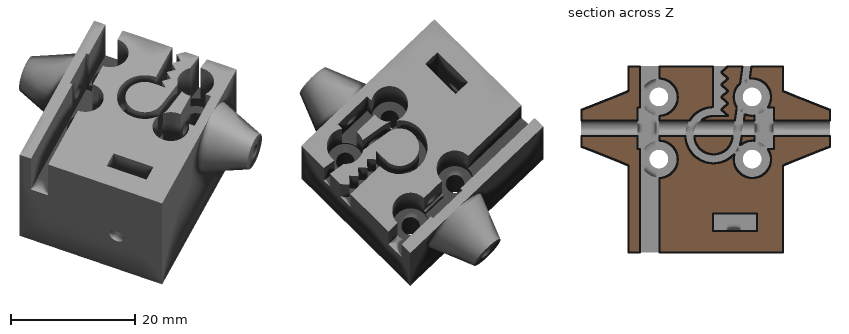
import cadquery as cq
import math

block_width = 25.0
block_length = 30.0
block_height = 21.0
half_width = block_width / 2

overall_width = 40.0
cone_length = (overall_width - block_width) / 2
cone_base_diameter = 12.0
cone_tip_diameter = 6.0
bore_diameter = 2.5
bore_y = 20.0
bore_z = block_height - cone_base_diameter / 2

screw_diameter = 3.0
counterbore_diameter = 5.9
counterbore_depth = 10.0
screw_spacing_x = 15.0
screw_spacing_y = 10.0

side_slot_width = 3.0
side_slot_wall = 2.0
side_slot_depth = 8.0

nut_pocket_thickness = 3.05
nut_pocket_width = 6.65
nut_pocket_wall = 1.55
nut_pocket_floor = bore_z - nut_pocket_width / 2

channel_depth = 8.0
core_x = 1.25
core_y = 18.9
core_radius = 3.1
channel_width = 1.35
outer_radius = core_radius + channel_width
leg_angle = math.radians(8)
tooth_pitch = 2.0
tooth_height = 1.1
tooth_tip_offset = 2.3
tooth_count = 4

clamp_hole_diameter = 2.5
clamp_hole_x = 4.5
clamp_hole_z = 8.5
nut_trap_width = 7.0
nut_trap_thickness = 2.8
nut_trap_front = 3.5
nut_trap_floor = clamp_hole_z - nut_trap_width / 2


def box_from_top(x_min, x_max, y_min, y_max, floor_z):
    """Rectangular volume from floor_z up to the top face."""
    return cq.Workplane("XY").box(
        x_max - x_min, y_max - y_min, block_height - floor_z, centered=False
    ).translate((x_min, y_min, floor_z))


def cone(side):
    """Tapered boss on the left (side = -1) or right (side = 1) face."""
    return cq.Workplane(cq.Solid.makeCone(
        cone_base_diameter / 2,
        cone_tip_diameter / 2,
        cone_length,
        cq.Vector(side * half_width, bore_y, bore_z),
        cq.Vector(side, 0, 0),
    ))


def nut_pocket(side):
    outer = side * (half_width - nut_pocket_wall)
    inner = outer - side * nut_pocket_thickness
    return box_from_top(
        min(inner, outer),
        max(inner, outer),
        bore_y - nut_pocket_width / 2,
        bore_y + nut_pocket_width / 2,
        nut_pocket_floor,
    )


def core_point(radius, angle):
    """Point at the given radius and angle around the channel core."""
    return (core_x + radius * math.cos(angle), core_y + radius * math.sin(angle))


def leg_end(radius):
    """Point where the sloping leg tangent to this radius meets the rear face."""
    x, y = core_point(radius, -leg_angle)
    return (x + (block_length - y) * math.tan(leg_angle), block_length)


def belt_channel():
    """Channel with a straight toothed leg, a round turn and a sloping smooth leg."""
    arc_middle = (math.pi / 2 + 2 * math.pi - leg_angle) / 2
    core_top = core_y + core_radius
    tip_x = core_x + tooth_tip_offset
    root_x = tip_x - tooth_height
    profile = (
        cq.Workplane("XY", origin=(0, 0, block_height - channel_depth))
        .moveTo(core_x, block_length)
        .lineTo(core_x, core_y + outer_radius)
        .threePointArc(core_point(outer_radius, arc_middle), core_point(outer_radius, -leg_angle))
        .lineTo(*leg_end(outer_radius))
        .lineTo(*leg_end(core_radius))
        .lineTo(*core_point(core_radius, -leg_angle))
        .threePointArc(core_point(core_radius, arc_middle), (core_x, core_top))
        .lineTo(tip_x, core_top)
    )
    for tooth in range(tooth_count):
        tooth_y = core_top + tooth * tooth_pitch
        profile = profile.lineTo(root_x, tooth_y + tooth_pitch / 2)
        profile = profile.lineTo(tip_x, tooth_y + tooth_pitch)
    return profile.close().extrude(channel_depth)


result = cq.Workplane("XY").box(block_width, block_length, block_height, centered=(True, False, False))

for side in (-1, 1):
    result = result.union(cone(side))
    result = result.cut(nut_pocket(side))

bore = (
    cq.Workplane("YZ", origin=(-overall_width / 2, bore_y, bore_z))
    .circle(bore_diameter / 2)
    .extrude(overall_width)
)
result = result.cut(bore)

side_slot_left = side_slot_wall - half_width
result = result.cut(box_from_top(
    side_slot_left,
    side_slot_left + side_slot_width,
    0,
    block_length,
    block_height - side_slot_depth,
))
result = result.cut(belt_channel())

for x in (-screw_spacing_x / 2, screw_spacing_x / 2):
    for y in (bore_y - screw_spacing_y / 2, bore_y + screw_spacing_y / 2):
        screw_hole = cq.Workplane("XY").center(x, y).circle(screw_diameter / 2).extrude(block_height)
        counterbore = (
            cq.Workplane("XY", origin=(x, y, block_height))
            .circle(counterbore_diameter / 2)
            .extrude(-counterbore_depth)
        )
        result = result.cut(screw_hole).cut(counterbore)

result = result.cut(box_from_top(
    core_x,
    core_x + nut_trap_width,
    nut_trap_front,
    nut_trap_front + nut_trap_thickness,
    nut_trap_floor,
))
clamp_hole = (
    cq.Workplane("XZ", origin=(clamp_hole_x, 0, clamp_hole_z))
    .circle(clamp_hole_diameter / 2)
    .extrude(-(nut_trap_front + nut_trap_thickness))
)
result = result.cut(clamp_hole)